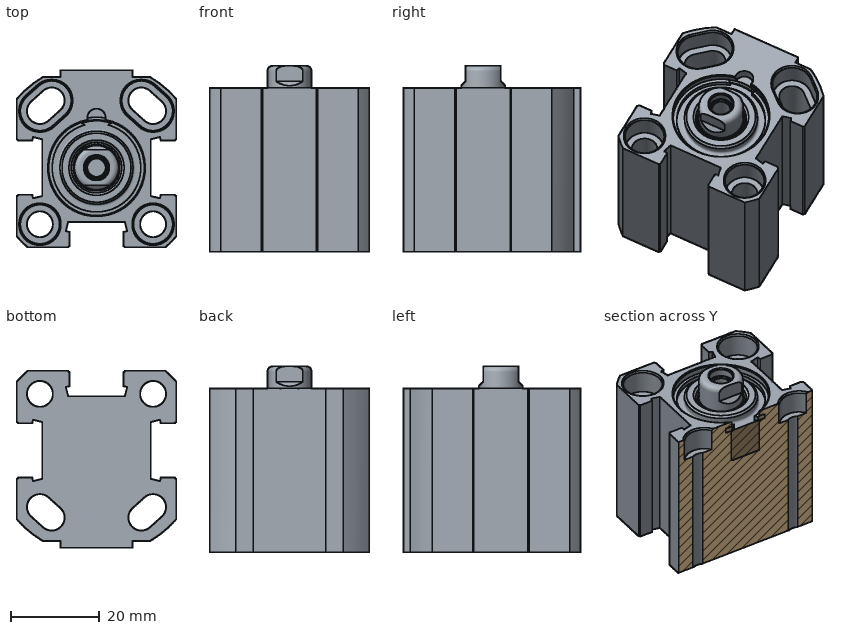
import cadquery as cq
import math

total_height = 42.0
housing_width = 36.0
housing_length = 40.0
housing_height = 37.0
half_width = housing_width / 2
front_y = -half_width
back_y = front_y + housing_length

tab_width = 16.3
tab_depth = 1.5
shoulder_y = back_y - tab_depth
corner_radius = 23.77

slot_half_mouth = 6.1
slot_half_undercut = 6.9
slot_half_floor = 6.4
slot_lip = 3.7
slot_lip_slant = 0.15
slot_depth = 5.7
slot_mouth_round = 0.3

mount_offset = 12.75
mount_hole_diameter = 5.8
mount_counterbore_diameter = 8.8
mount_counterbore_depth = 5.65
mount_slot_travel = 3.55
mount_slot_angle = 42.0
mount_chamfer = 0.35

bore_diameter = 21.6
bore_chamfer = 0.2
cover_top = 34.45
cover_bottom = 26.05
cover_edge_chamfer = 0.2
groove_diameter = 22.8
ring_thickness = 1.0
ring_inner_diameter = 20.0
ring_gap_inner_angle = 15.7
ring_gap_outer_angle = 20.5
pry_notch_diameter = 4.1
pry_notch_offset = 11.25
pry_notch_depth = 2.4

boss_diameter = 16.5
boss_top = 36.6
boss_chamfer = 0.45
boss_foot_fillet = 0.55
cover_mouth_diameter = 12.47
seal_diameter = 11.4

seal_lip_diameter = 10.5
seal_top = 35.65
seal_bottom = 31.9
seal_lip_rise = 1.7

rod_diameter = 10.0
rod_top_fillet = 1.2
flat_width = 8.0
flat_height = 3.5
rod_counterbore_diameter = 5.25
rod_counterbore_depth = 2.0
rod_hole_diameter = 4.1
rod_hole_depth = 8.4
rod_hole_mouth_diameter = 4.7
rod_mouth_diameter = 5.8


def cylinder(diameter, bottom, top):
    return cq.Workplane("XY").workplane(offset=bottom).circle(diameter / 2).extrude(top - bottom)


def cone(bottom_diameter, bottom, top_diameter, top):
    profile = [(0, bottom), (bottom_diameter / 2, bottom), (top_diameter / 2, top), (0, top)]
    return cq.Workplane("XZ").polyline(profile).close().revolve(360, (0, 0), (0, 1))


def housing_block():
    """Rectangle with a back tab, its corners rounded by a cylinder about the rod axis."""
    body = cq.Workplane("XY").box(
        housing_width, shoulder_y - front_y, housing_height, centered=(True, False, False)
    )
    body = body.translate((0, front_y, 0)).intersect(cylinder(2 * corner_radius, 0, housing_height))
    tab = cq.Workplane("XY").box(tab_width, back_y, housing_height, centered=(True, False, False))
    return body.union(tab)


def sensor_slot():
    """Undercut slot along the full height, in the front wall."""
    mouth_edge = slot_half_mouth + slot_mouth_round
    return (
        cq.Workplane("XY")
        .moveTo(-mouth_edge, front_y)
        .lineTo(mouth_edge, front_y)
        .radiusArc((slot_half_mouth, front_y + slot_mouth_round), -slot_mouth_round)
        .lineTo(slot_half_mouth, front_y + slot_lip - slot_lip_slant)
        .lineTo(slot_half_undercut, front_y + slot_lip)
        .lineTo(slot_half_floor, front_y + slot_depth)
        .lineTo(-slot_half_floor, front_y + slot_depth)
        .lineTo(-slot_half_undercut, front_y + slot_lip)
        .lineTo(-slot_half_mouth, front_y + slot_lip - slot_lip_slant)
        .lineTo(-slot_half_mouth, front_y + slot_mouth_round)
        .radiusArc((-mouth_edge, front_y), -slot_mouth_round)
        .close()
        .extrude(housing_height)
    )


def elongated(diameter, x, y, angle, bottom, top, flare=0):
    """Upright column with a slot-shaped section that starts at (x, y) and may flare towards its top."""
    run_x = mount_slot_travel * math.cos(math.radians(angle))
    run_y = mount_slot_travel * math.sin(math.radians(angle))
    return (
        cq.Workplane("XY", origin=(x + run_x / 2, y + run_y / 2, bottom))
        .transformed(rotate=(0, 0, angle))
        .slot2D(mount_slot_travel + diameter, diameter)
        .extrude(top - bottom, taper=-flare)
    )


def round_mount_hole(x):
    counterbore = cylinder(
        mount_counterbore_diameter, housing_height - mount_counterbore_depth, housing_height
    )
    mouth_diameter = mount_counterbore_diameter + 2 * mount_chamfer
    mouth = cone(mount_counterbore_diameter, housing_height - mount_chamfer, mouth_diameter, housing_height)
    hole = cylinder(mount_hole_diameter, 0, housing_height)
    return hole.union(counterbore).union(mouth).translate((x, -mount_offset, 0))


def slotted_mount_hole(x, angle):
    floor = housing_height - mount_counterbore_depth
    mouth_bottom = housing_height - mount_chamfer
    hole = elongated(mount_hole_diameter, x, mount_offset, angle, 0, housing_height)
    counterbore = elongated(mount_counterbore_diameter, x, mount_offset, angle, floor, housing_height)
    mouth = elongated(
        mount_counterbore_diameter, x, mount_offset, angle, mouth_bottom, housing_height, flare=45
    )
    return hole.union(counterbore).union(mouth)


def make_housing():
    housing = housing_block()
    for angle in (-90, 0, 90):
        housing = housing.cut(sensor_slot().rotate((0, 0, 0), (0, 0, 1), angle))
    housing = housing.cut(round_mount_hole(-mount_offset)).cut(round_mount_hole(mount_offset))
    housing = housing.cut(slotted_mount_hole(-mount_offset, mount_slot_angle))
    housing = housing.cut(slotted_mount_hole(mount_offset, 180 - mount_slot_angle))
    housing = housing.cut(cylinder(bore_diameter, cover_bottom, housing_height))
    mouth_diameter = bore_diameter + 2 * bore_chamfer
    housing = housing.cut(
        cone(bore_diameter, housing_height - bore_chamfer, mouth_diameter, housing_height)
    )
    housing = housing.cut(cylinder(groove_diameter, cover_top, cover_top + ring_thickness))
    notch = cylinder(pry_notch_diameter, housing_height - pry_notch_depth, housing_height)
    return housing.cut(notch.translate((0, pry_notch_offset, 0)))


def polar_from_y(radius, angle):
    return radius * math.sin(math.radians(angle)), radius * math.cos(math.radians(angle))


def make_retaining_ring():
    ring = cylinder(groove_diameter, cover_top, cover_top + ring_thickness)
    ring = ring.cut(cylinder(ring_inner_diameter, cover_top, cover_top + ring_thickness))
    inner_x, inner_y = polar_from_y(ring_inner_diameter / 2, ring_gap_inner_angle)
    outer_x, outer_y = polar_from_y(groove_diameter / 2, ring_gap_outer_angle)
    gap = [
        (-inner_x, inner_y),
        (inner_x, inner_y),
        (outer_x, outer_y),
        (outer_x, groove_diameter),
        (-outer_x, groove_diameter),
        (-outer_x, outer_y),
    ]
    return ring.cut(
        cq.Workplane("XY").workplane(offset=cover_top).polyline(gap).close().extrude(ring_thickness)
    )


def make_cover():
    boss_radius = boss_diameter / 2
    mouth_radius = cover_mouth_diameter / 2
    seal_radius = seal_diameter / 2
    rod_radius = rod_diameter / 2
    profile = (
        cq.Workplane("XZ")
        .moveTo(rod_radius, cover_bottom)
        .lineTo(bore_diameter / 2, cover_bottom)
        .lineTo(bore_diameter / 2, cover_top - cover_edge_chamfer)
        .lineTo(bore_diameter / 2 - cover_edge_chamfer, cover_top)
        .lineTo(boss_radius + boss_foot_fillet, cover_top)
        .radiusArc((boss_radius, cover_top + boss_foot_fillet), boss_foot_fillet)
        .lineTo(boss_radius, boss_top - boss_chamfer)
        .lineTo(boss_radius - boss_chamfer, boss_top)
        .lineTo(mouth_radius, boss_top)
        .lineTo(seal_radius, boss_top - (mouth_radius - seal_radius))
        .lineTo(seal_radius, seal_bottom)
        .lineTo(rod_radius, seal_bottom)
        .close()
    )
    return profile.revolve(360, (0, 0), (0, 1))


def make_seal():
    profile = [
        (rod_diameter / 2, seal_bottom),
        (seal_diameter / 2, seal_bottom),
        (seal_diameter / 2, seal_top - seal_lip_rise),
        (seal_lip_diameter / 2, seal_top - seal_lip_rise),
        (seal_lip_diameter / 2, seal_top),
        (rod_diameter / 2, seal_top),
    ]
    return cq.Workplane("XZ").polyline(profile).close().revolve(360, (0, 0), (0, 1))


def wrench_flat():
    """Cutter for one flat on the front of the rod tip, with a 45 degree run-out."""
    flat_y = -flat_width / 2
    reach = rod_diameter / 2
    flat_bottom = total_height - flat_height
    section = [
        (flat_y, total_height),
        (flat_y, flat_bottom),
        (flat_y - reach, flat_bottom - reach),
        (flat_y - reach, total_height),
    ]
    return cq.Workplane("YZ").polyline(section).close().extrude(reach, both=True)


def make_rod():
    rod = cylinder(rod_diameter, cover_bottom, total_height).faces(">Z").edges().fillet(rod_top_fillet)
    for angle in (0, 180):
        rod = rod.cut(wrench_flat().rotate((0, 0, 0), (0, 0, 1), angle))
    mouth_depth = (rod_mouth_diameter - rod_counterbore_diameter) / 2
    rod = rod.cut(
        cone(rod_counterbore_diameter, total_height - mouth_depth, rod_mouth_diameter, total_height)
    )
    ledge = total_height - rod_counterbore_depth
    rod = rod.cut(cylinder(rod_counterbore_diameter, ledge, total_height))
    hole_mouth_depth = (rod_hole_mouth_diameter - rod_hole_diameter) / 2
    rod = rod.cut(cone(rod_hole_diameter, ledge - hole_mouth_depth, rod_hole_mouth_diameter, ledge))
    return rod.cut(cylinder(rod_hole_diameter, total_height - rod_hole_depth, total_height))


housing = make_housing()
retaining_ring = make_retaining_ring()
cover = make_cover()
seal = make_seal()
rod = make_rod()

result = cq.Compound.makeCompound(
    [housing.val(), retaining_ring.val(), cover.val(), seal.val(), rod.val()]
)